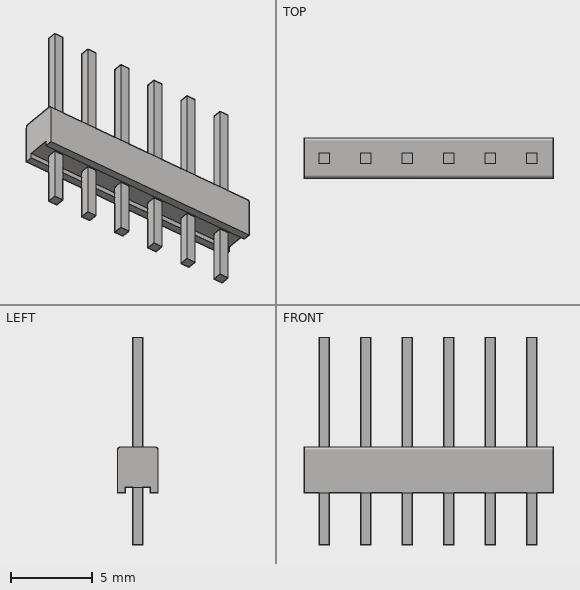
import cadquery as cq

pin_count = 6
pitch = 2.54
body_length = pin_count * pitch
body_width = 2.5
body_height = 2.82
top_edge_radius = 0.2

groove_width = 1.5
groove_depth = 0.34

pin_side = 0.63
pin_length = 12.7
pin_below_body = 3.18
pin_row_shift = -0.05


def make_body():
    """Housing with its underside at Z = 0, rounded long top edges and a grooved underside."""
    body = cq.Workplane("XY").box(body_length, body_width, body_height, centered=(True, True, False))
    body = body.faces(">Z").edges("|X").fillet(top_edge_radius)
    groove = cq.Workplane("XY").box(body_length, groove_width, groove_depth, centered=(True, True, False))
    return body.cut(groove)


def make_pin(x):
    """Square pin passing vertically through the housing at the given X."""
    pin = cq.Workplane("XY").box(pin_side, pin_side, pin_length, centered=(True, True, False))
    return pin.translate((x, 0, -pin_below_body))


result = make_body()
for index in range(pin_count):
    offset_from_middle = (index - (pin_count - 1) / 2) * pitch
    result = result.union(make_pin(pin_row_shift + offset_from_middle))